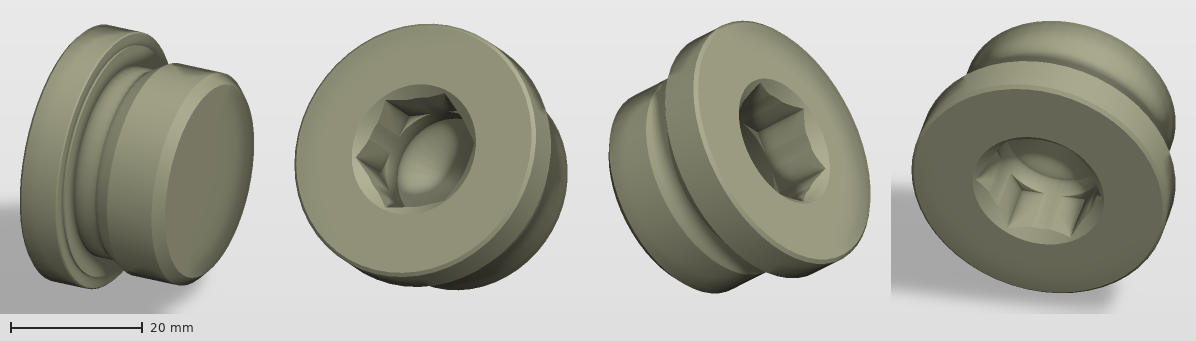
import cadquery as cq
import math

flange_radius = 19.95
total_length = 22.5

flange_thickness = 6.55
front_chamfer = 0.5
back_chamfer = 0.2
seal_radius = 17.95
seal_end = 6.9

neck_radius = 14.85
neck_end = 10.57
shank_radius = 16.5
shank_start = 13.4
tip_chamfer_length = 1.5
tip_radius = 15.0

hex_across_flats = 17.0
hex_across_corners = hex_across_flats / math.cos(math.pi / 6)
hex_depth = 9.98
entry_radius = 10.25
entry_half_angle = math.radians(45)
drill_radius = 8.6
drill_depth = 13.95
drill_half_angle = math.radians(60)


def revolve_about_x(points):
    """Turn a closed (x, radius) outline about the X axis."""
    return cq.Workplane("XY").polyline(points).close().revolve(360, (0, 0, 0), (1, 0, 0))


def make_body():
    return revolve_about_x([
        (0, 0),
        (0, flange_radius - front_chamfer),
        (front_chamfer, flange_radius),
        (flange_thickness - back_chamfer, flange_radius),
        (flange_thickness, flange_radius - back_chamfer),
        (flange_thickness, seal_radius),
        (seal_end, seal_radius),
        (seal_end, neck_radius),
        (neck_end, neck_radius),
        (shank_start, shank_radius),
        (total_length - tip_chamfer_length, shank_radius),
        (total_length, tip_radius),
        (total_length, 0),
    ])


def make_socket():
    hexagon = cq.Workplane("YZ").polygon(6, hex_across_corners).extrude(hex_depth)
    entry_cone_depth = entry_radius / math.tan(entry_half_angle)
    entry_cone = revolve_about_x([(0, 0), (0, entry_radius), (entry_cone_depth, 0)])
    drill_tip = drill_depth + drill_radius / math.tan(drill_half_angle)
    pilot_hole = revolve_about_x([(0, 0), (0, drill_radius), (drill_depth, drill_radius), (drill_tip, 0)])
    return hexagon.union(entry_cone).union(pilot_hole)


result = make_body().cut(make_socket())